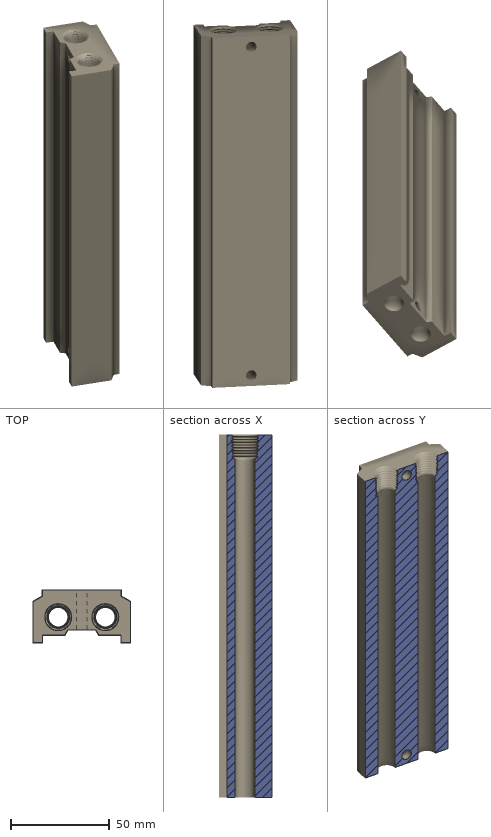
import cadquery as cq
width = 50.0
depth = 27.0
length = 185.0

foot_width = 5.0
foot_height = 3.9
groove_depth = 6.5
groove_mouth_width = 17.2
groove_floor_width = 14.2
back_width = 40.3
back_step = 3.1
back_slope_end = 6.0

port_spacing = 24.0
port_height = 13.1
port_bore_diameter = 10.0
mouth_diameter = 13.7
thread_pitch = 1.4
thread_depth = 1.1
thread_turns = 9
thread_radial_taper = 1 / 32

mounting_hole_diameter = 5.4
mounting_hole_edge_distance = 5.5

front = -depth / 2
back = depth / 2
top = length / 2


def body():
    """Extrude the symmetric section, drawn as its right half and mirrored."""
    shelf = front + foot_height
    half_outline = [
        (0, front + groove_depth),
        (groove_floor_width / 2, front + groove_depth),
        (groove_mouth_width / 2, shelf),
        (width / 2 - foot_width, shelf),
        (width / 2 - foot_width, front),
        (width / 2, front),
        (width / 2, back - back_slope_end),
        (back_width / 2, back - back_step),
        (back_width / 2, back),
        (0, back),
    ]
    return (
        cq.Workplane("XY")
        .workplane(offset=-length / 2)
        .polyline(half_outline)
        .mirrorY()
        .extrude(length)
    )


def port_cutter():
    """Through bore with tapered, ring-shaped V grooves for the thread at the +Z mouth."""
    profile = [(0, top)]
    for turn in range(thread_turns):
        root_z = top - turn * thread_pitch
        root_radius = mouth_diameter / 2 - turn * thread_pitch * thread_radial_taper
        profile.append((root_radius, root_z))
        profile.append((root_radius - thread_depth, root_z - thread_pitch / 2))
    thread_end = top - thread_turns * thread_pitch
    bore_radius = port_bore_diameter / 2
    profile += [
        (bore_radius, thread_end),
        (bore_radius, -top),
        (0, -top),
    ]
    return (
        cq.Workplane("XZ")
        .polyline(profile)
        .close()
        .revolve(360, (0, 0, 0), (0, 1, 0))
    )


def mounting_holes():
    hole_z = top - mounting_hole_edge_distance
    return (
        cq.Workplane("XZ", origin=(0, back, 0))
        .pushPoints([(0, -hole_z), (0, hole_z)])
        .circle(mounting_hole_diameter / 2)
        .extrude(depth)
    )


result = body().cut(mounting_holes())
for side in (-1, 1):
    port_position = (side * port_spacing / 2, front + port_height, 0)
    result = result.cut(port_cutter().translate(port_position))